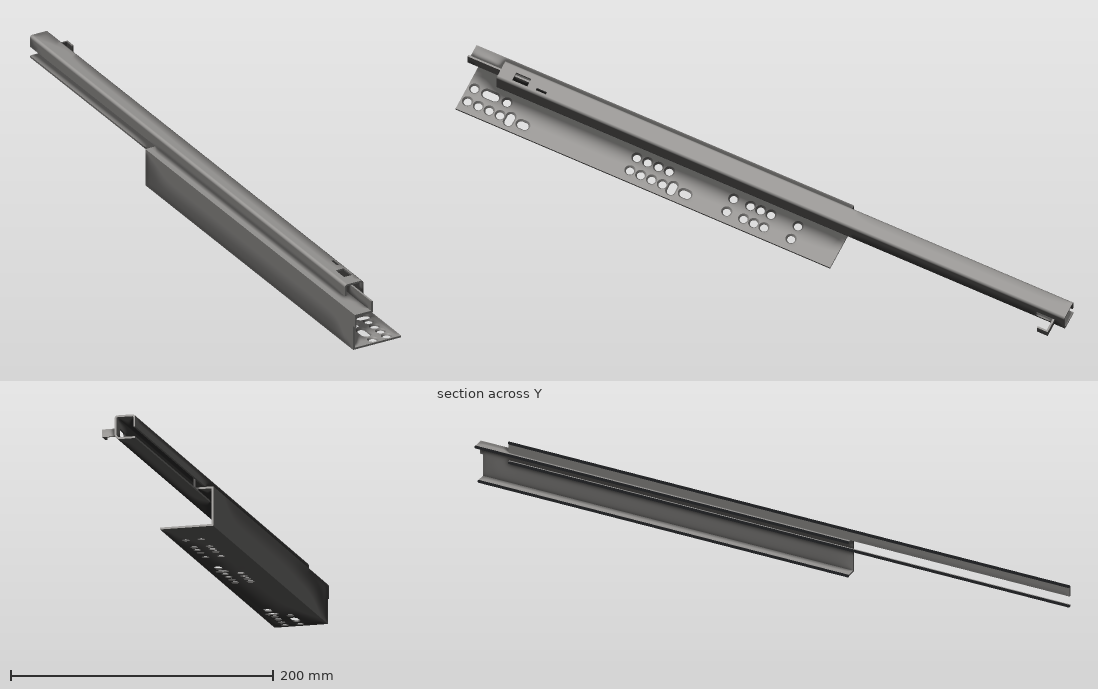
import cadquery as cq

overall_length = 509.0
overall_height = 42.0
sheet = 1.5

cabinet_depth = 42.0
cabinet_start = 189.5
shelf_top = 31.0
web_back = 16.0
web_top = 39.0
end_trim = 2.5
end_trim_top = 20.5

hole_width = 6.0
bevel_angle = 40
rear_row = 32.5
front_row = 20.5
single_holes = [227.0, 250.0, 258.5, 267.0, 281.5]
hole_pitch = 9.0
group_holes = 4
group_shift = 137.5
last_hole = 501.0
across_slot_gap = 35.5
along_slot_gap = 47.0
across_slot_length = 10.5
along_slot_length = 9.0
front_slot_length = 13.0

drawer_length = 480.5
drawer_front = 7.5
drawer_back = 24.0
drawer_bottom = 23.5
lip_bottom = 32.5
top_bend = 2.3
lower_bend = 4.0

tab_start = 8.0
tab_length = 9.0
tab_back = 36.0
tab_bottom = 28.0
tab_top = 34.0
window_end = 24.5
window_corner = 2.5

catch_slot = (456.0, 469.0, 13.5, 21.0)
small_slot = (440.5, 449.0, 19.0, 21.0)


def block(x_start, x_end, y_start, y_end, z_start, z_end):
    """A box given by its limits along each axis."""
    size = (x_end - x_start, y_end - y_start, z_end - z_start)
    return cq.Workplane("XY").box(*size, centered=False).translate((x_start, y_start, z_start))


def bevelled_opening(x, y, length=hole_width, angle=0):
    """Cutter for a round hole or a slot that widens towards the flange's upper face."""
    sketch = cq.Workplane("XY").center(x, y)
    if length > hole_width:
        outline = sketch.slot2D(length, hole_width, angle)
    else:
        outline = sketch.circle(hole_width / 2)
    return outline.extrude(sheet, taper=-bevel_angle)


def cut_screw_holes(rail):
    """Cut the two rows of screw holes and slots in the mounting flange."""
    first_group_end = last_hole - group_shift
    first_group = [first_group_end - i * hole_pitch for i in range(group_holes)]
    second_group = [last_hole - i * hole_pitch for i in range(group_holes)]

    for x in single_holes + first_group + second_group:
        rail = rail.cut(bevelled_opening(x, rear_row))
    for group_end in (first_group_end, last_hole):
        rail = rail.cut(bevelled_opening(group_end - across_slot_gap, rear_row, across_slot_length, 90))
        rail = rail.cut(bevelled_opening(group_end - along_slot_gap, rear_row, along_slot_length))

    for x in single_holes + first_group + [second_group[0], second_group[-1]]:
        rail = rail.cut(bevelled_opening(x, front_row))
    slot_centre = (second_group[1] + second_group[2]) / 2
    return rail.cut(bevelled_opening(slot_centre, front_row, front_slot_length))


def make_cabinet_rail():
    section = [
        (0, 0),
        (cabinet_depth, 0),
        (cabinet_depth, sheet),
        (sheet, sheet),
        (sheet, shelf_top - sheet),
        (web_back, shelf_top - sheet),
        (web_back, web_top),
        (web_back - sheet, web_top),
        (web_back - sheet, shelf_top),
        (0, shelf_top),
    ]
    rail = (
        cq.Workplane("YZ")
        .workplane(offset=cabinet_start)
        .polyline(section)
        .close()
        .extrude(overall_length - cabinet_start)
    )
    trim = block(overall_length - end_trim, overall_length, 0, cabinet_depth, 0, end_trim_top)
    return cut_screw_holes(rail.cut(trim))


def rounded_channel(front, back, bottom, top, upper_radius, lower_radius):
    """A full-length bar with rounded upper edges and a rounded lower rear edge."""
    bar = block(0, drawer_length, front, back, bottom, top)
    return bar.edges("|X and >Z").fillet(upper_radius).edges("|X and <Z and >Y").fillet(lower_radius)


def make_channel():
    outside = rounded_channel(
        drawer_front, drawer_back, drawer_bottom, overall_height, top_bend, lower_bend
    )
    inside = rounded_channel(
        drawer_front + sheet,
        drawer_back - sheet,
        drawer_bottom + sheet,
        overall_height - sheet,
        top_bend - sheet,
        lower_bend - sheet,
    )
    front_gap = block(
        0, drawer_length, drawer_front, drawer_front + sheet, drawer_bottom + sheet, lip_bottom
    )
    return outside.cut(inside).cut(front_gap)


def make_stop_tab():
    """An L-shaped tab: an arm out from the rear wall, then a finger along X."""
    arm = block(tab_start, tab_start + sheet, drawer_back - sheet, tab_back, tab_bottom, tab_top)
    finger = block(tab_start, tab_start + tab_length, tab_back - sheet, tab_back, tab_bottom, tab_top)
    return arm.union(finger)


def make_drawer_rail():
    window = block(
        tab_start + sheet, window_end, drawer_back - sheet, drawer_back, tab_bottom, tab_top
    )
    window = window.edges("|Y and >X").fillet(window_corner)
    rail = make_channel().cut(window).union(make_stop_tab())
    for slot in (catch_slot, small_slot):
        rail = rail.cut(block(*slot, overall_height - sheet, overall_height))
    return rail


cabinet_rail = make_cabinet_rail()
drawer_rail = make_drawer_rail()

result = cq.Compound.makeCompound([cabinet_rail.val(), drawer_rail.val()])